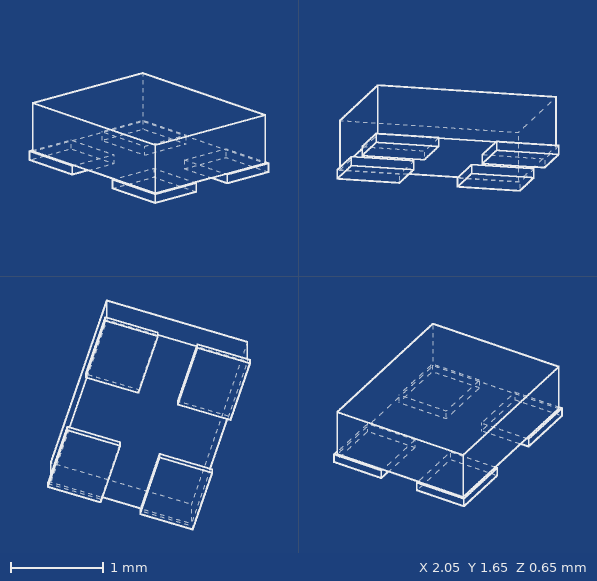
import cadquery as cq

overall_length = 2.05
overall_width = 1.65
overall_height = 0.65

pad_length = 0.7
pad_width = 0.6
pad_thickness = 0.1
pad_overhang = 0.025

housing_length = overall_length - 2 * pad_overhang
housing_width = overall_width - 2 * pad_overhang
housing_height = overall_height - pad_thickness

pad_center_x = (overall_length - pad_length) / 2
pad_center_y = (overall_width - pad_width) / 2


def make_housing():
    """Plain rectangular block whose underside lies on top of the pads."""
    return (
        cq.Workplane("XY")
        .workplane(offset=pad_thickness)
        .rect(housing_length, housing_width)
        .extrude(housing_height)
    )


def make_pad(center_x, center_y):
    """Flat rectangular terminal pad with its underside at Z = 0."""
    return (
        cq.Workplane("XY")
        .center(center_x, center_y)
        .rect(pad_length, pad_width)
        .extrude(pad_thickness)
    )


housing = make_housing()

pads = []
for side_x in (-1, 1):
    for side_y in (-1, 1):
        pads.append(make_pad(side_x * pad_center_x, side_y * pad_center_y))

result = cq.Compound.makeCompound([housing.val(), *[pad.val() for pad in pads]])